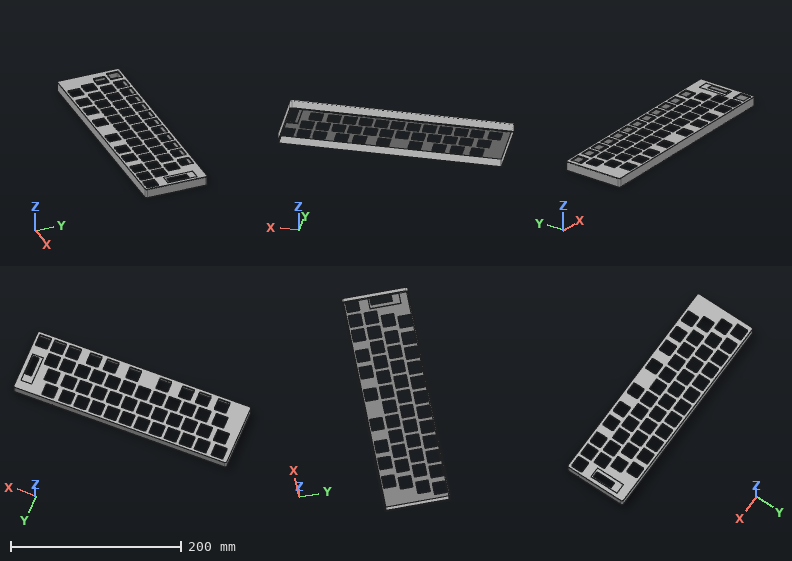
import cadquery as cq

key_unit = 19.05
columns = 14
rows = 4
wall = 1.5
plate_thickness = 1.5
height = 12.0
corner_radius = 2.5
cavity_corner_radius = corner_radius - wall

cavity_length = columns * key_unit
cavity_width = rows * key_unit
length = cavity_length + 2 * wall
width = cavity_width + 2 * wall
plate_bottom = height - plate_thickness

key_opening = 14.57
key_corner_radius = 0.75

wide_step = 1.125
inner_keys = 10


def staggered_row(first_key):
    inner = [first_key + wide_step + i for i in range(inner_keys)]
    return [first_key] + inner + [inner[-1] + wide_step]


third_row_first = 1.375
third_row_second = third_row_first + wide_step
key_rows = [
    staggered_row(0.625),
    staggered_row(0.875),
    [third_row_first] + [third_row_second + i for i in range(inner_keys + 1)],
    [1.625, 2.875, 4.0, 5.5, 7.5, 9.0, 10.125, 11.5, 12.5, 13.5],
]

window_x = 124.3
window_length_x = 7.5
window_length_y = 25.0
window_y = 5.8
pocket_length_x = 13.5
pocket_length_y = 37.0
pocket_x = 122.9
pocket_y = 9.5
skin_thickness = 0.5


def make_tray():
    body = cq.Workplane("XY").box(length, width, height, centered=(True, True, False))
    body = body.edges("|Z").fillet(corner_radius)
    cavity = cq.Workplane("XY").box(cavity_length, cavity_width, plate_bottom, centered=(True, True, False))
    return body.cut(cavity.edges("|Z").fillet(cavity_corner_radius))


def key_centres():
    centres = []
    for row, keys in enumerate(key_rows):
        y = ((rows - 1) / 2 - row) * key_unit
        centres += [((key - columns / 2) * key_unit, y) for key in keys]
    return centres


def make_key_openings():
    openings = (
        cq.Workplane("XY", origin=(0, 0, plate_bottom))
        .pushPoints(key_centres())
        .rect(key_opening, key_opening)
        .extrude(plate_thickness)
    )
    return openings.edges("|Z").fillet(key_corner_radius)


def make_display_cutout():
    pocket = (
        cq.Workplane("XY", origin=(pocket_x, pocket_y, plate_bottom))
        .rect(pocket_length_x, pocket_length_y)
        .extrude(plate_thickness - skin_thickness)
    )
    window = (
        cq.Workplane("XY", origin=(window_x, window_y, plate_bottom))
        .rect(window_length_x, window_length_y)
        .extrude(plate_thickness)
    )
    return pocket.union(window)


result = make_tray().cut(make_key_openings()).cut(make_display_cutout())